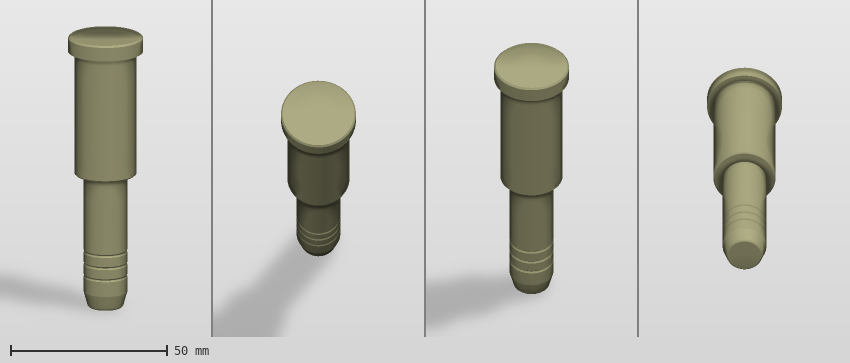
import cadquery as cq

total_length = 90.0
head_height = 5.0
body_bottom = 44.0
neck_height = 1.0
taper_height = 5.0

head_radius = 24.0 / 2
body_radius = 10.0
neck_radius = 6.5
shank_radius = 7.0
tip_radius = 5.8

head_chamfer = 0.5
body_chamfer = 0.45
tip_chamfer = 0.45

groove_width = 1.0
groove_depth = 0.45
lowest_groove = 10.4
groove_pitch = 4.05
groove_count = 3

head_bottom = total_length - head_height


def revolve_profile(points):
    """Solid of revolution about Z from (radius, height) points."""
    return cq.Workplane("XZ").polyline(points).close().revolve(360, (0, 0, 0), (0, 1, 0))


def v_groove(radius, center_height):
    """Ring with a triangular section, cut into a cylinder of the given radius."""
    half_width = groove_width / 2
    return revolve_profile([
        (radius, center_height - half_width),
        (radius - groove_depth, center_height),
        (radius, center_height + half_width),
    ])


result = revolve_profile([
    (0, 0),
    (tip_radius - tip_chamfer, 0),
    (tip_radius, tip_chamfer),
    (shank_radius, taper_height),
    (shank_radius, body_bottom - neck_height),
    (neck_radius, body_bottom - neck_height),
    (neck_radius, body_bottom),
    (body_radius - body_chamfer, body_bottom),
    (body_radius, body_bottom + body_chamfer),
    (body_radius, head_bottom),
    (head_radius, head_bottom),
    (head_radius, total_length - head_chamfer),
    (head_radius - head_chamfer, total_length),
    (0, total_length),
])

result = result.cut(v_groove(body_radius, head_bottom - groove_width / 2))

for index in range(groove_count):
    result = result.cut(v_groove(shank_radius, lowest_groove + index * groove_pitch))